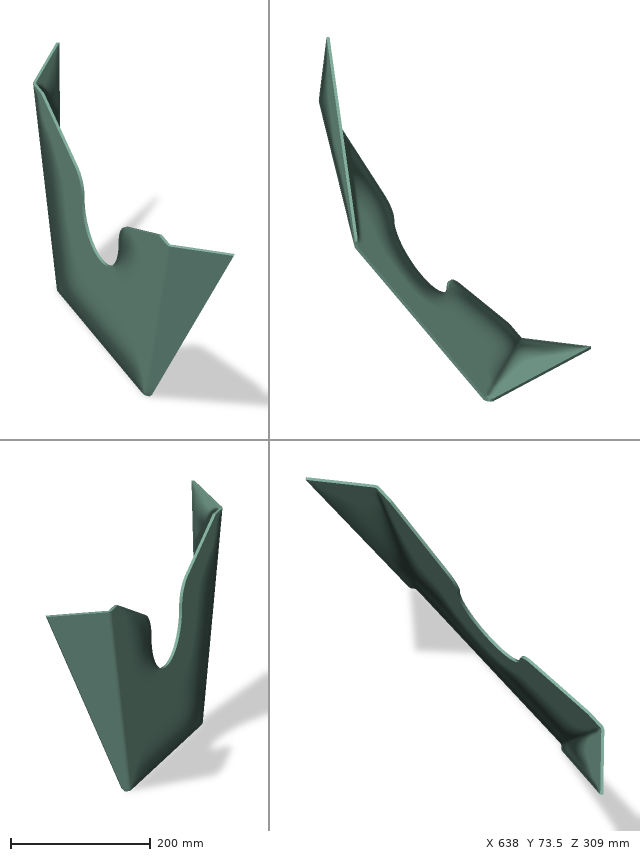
import cadquery as cq
import math

width = 638.0
depth = 73.5
height = 309.0

thickness = 4.5
bend_angle = math.radians(45)
lean_angle = math.radians(16)
bend_outer_radius = 9.5
bend_inner_radius = bend_outer_radius - thickness
bend_setback = bend_outer_radius * math.tan(bend_angle / 2)

panel_height = 299.0
shoulder_half_width = 212.0
slope_angle = math.radians(24.2)

notch_radius = 66.5
notch_bottom = 138.0
notch_center_height = notch_bottom + notch_radius
notch_corner_radius = 42.0

wing_foot_width = 8.0
wing_clip_width = 11.5
wing_clip_height = 4.0

along = cq.Vector(-math.sin(lean_angle), 0, math.cos(lean_angle))
panel_outward = cq.Vector(-math.cos(lean_angle), 0, -math.sin(lean_angle))
backward = cq.Vector(0, 1, 0)
across = panel_outward * math.cos(bend_angle) + backward * math.sin(bend_angle)
inward = backward * math.cos(bend_angle) - panel_outward * math.sin(bend_angle)

outer_tip = cq.Vector(
    -width / 2,
    depth - thickness * inward.y,
    height - thickness * inward.z,
)
tip_across = outer_tip.y / across.y
tip_along = (outer_tip.z - tip_across * across.z) / along.z

bend_foot = outer_tip - across * tip_across - along * tip_along
bottom_half_width = -bend_foot.x


def panel_edge(z):
    """Half width of the flat panel, up to the start of the bend."""
    sharp_edge = bottom_half_width + z * math.tan(lean_angle)
    return sharp_edge - bend_setback / math.cos(lean_angle)


def make_panel():
    margin = 3.0
    slope_drop = (shoulder_half_width - notch_radius) * math.tan(slope_angle)
    notch_top = panel_height - slope_drop
    panel = (
        cq.Workplane("XZ")
        .moveTo(-panel_edge(0), 0)
        .lineTo(panel_edge(0), 0)
        .lineTo(panel_edge(panel_height), panel_height)
        .lineTo(shoulder_half_width, panel_height)
        .lineTo(notch_radius, notch_top)
        .lineTo(notch_radius, notch_center_height)
        .threePointArc((0, notch_bottom), (-notch_radius, notch_center_height))
        .lineTo(-notch_radius, notch_top)
        .lineTo(-shoulder_half_width, panel_height)
        .lineTo(-panel_edge(panel_height), panel_height)
        .close()
        .extrude(-thickness)
    )
    mouth_corners = cq.selectors.BoxSelector(
        (-notch_radius - margin, -margin, notch_top - margin),
        (notch_radius + margin, thickness + margin, notch_top + margin),
    )
    return panel.edges("|Y").edges(mouth_corners).fillet(notch_corner_radius)


def make_bend():
    """Left bend: a ring sector run along the bend line and cut level at both ends."""

    def section_point(radius, angle):
        return (
            radius * math.sin(angle) - bend_setback,
            bend_outer_radius - radius * math.cos(angle),
        )

    overrun = 32.0
    section_plane = cq.Plane(
        origin=(bend_foot - along * overrun).toTuple(),
        xDir=panel_outward.toTuple(),
        normal=panel_outward.cross(backward).toTuple(),
    )
    bar_length = panel_height / along.z + 2 * overrun
    bar = (
        cq.Workplane(section_plane)
        .moveTo(*section_point(bend_outer_radius, 0))
        .threePointArc(
            section_point(bend_outer_radius, bend_angle / 2),
            section_point(bend_outer_radius, bend_angle),
        )
        .lineTo(*section_point(bend_inner_radius, bend_angle))
        .threePointArc(
            section_point(bend_inner_radius, bend_angle / 2),
            section_point(bend_inner_radius, 0),
        )
        .close()
        .extrude(-bar_length)
    )
    level_slab = cq.Workplane("XY").rect(2 * width, 2 * width).extrude(panel_height)
    return bar.intersect(level_slab)


def make_wing():
    """Flat left wing, with its edges square to the sheet."""

    def along_at(z, distance_across):
        return (z - distance_across * across.z) / along.z

    wing_plane = cq.Plane(
        origin=bend_foot.toTuple(),
        xDir=across.toTuple(),
        normal=inward.toTuple(),
    )
    corners = [
        (bend_setback, along_at(0, bend_setback)),
        (wing_foot_width, along_at(0, wing_foot_width)),
        (wing_clip_width, along_at(wing_clip_height, wing_clip_width)),
        (tip_across, tip_along),
        (bend_setback, along_at(panel_height, bend_setback)),
    ]
    return cq.Workplane(wing_plane).polyline(corners).close().extrude(thickness)


left_side = make_bend().union(make_wing())
right_side = left_side.mirror("YZ")
result = make_panel().union(left_side).union(right_side)